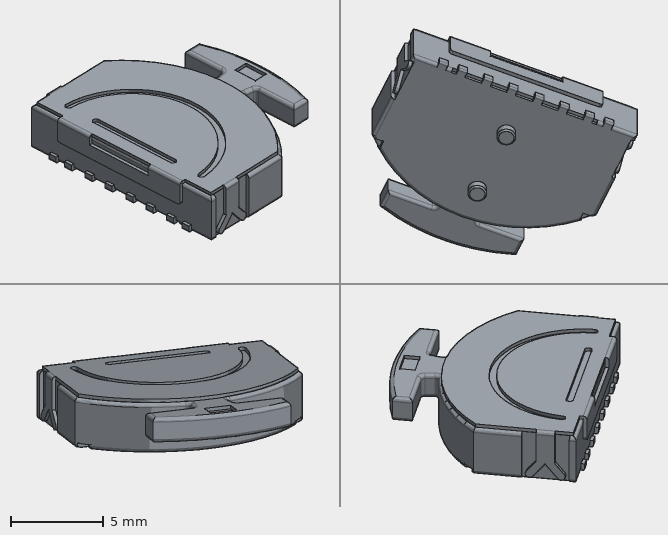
import cadquery as cq
import math

width = 13.2
half_width = width / 2
side_length = 5.64
arch_top = 8.62
sheet = 0.2
total_height = 3.0
housing_height = total_height - sheet
edge_round = 0.22
lower_round = 0.18

handle_half_width = 4.0
handle_front = 9.46
handle_side_end = 10.57
handle_top = 11.26
handle_bottom = 1.4
neck_half_front = 1.0
neck_half_back = 1.21
neck_start = 8.18
neck_round = 0.21
neck_corner_margin = 0.07
window_width = 1.5
window_length = 0.87
window_center = 10.35
window_depth = 0.2

tab_thickness = 0.21
cover_half_width = half_width - edge_round
cover_front = 0.2
cover_side_end = 5.57
cover_arch_top = 8.47
tab_half_width = 4.49
tab_bottom = 1.5
tab_corner = 0.17
tab_notch_half_width = 2.14
tab_notch_bottom = 2.36

arc_groove_radius = 4.88
arc_groove_width = 0.41
arc_groove_center = 0.82
arc_groove_end = 1.11
bar_groove_length = 6.02
bar_groove_width = 0.4
bar_groove_y = 1.04

recess_front = 0.38
recess_back = 3.01
recess_depth = 0.21
strap_y = 1.7
strap_half_width = 0.51
fork_spread = 0.87
fork_end_z = 0.33
fork_half_width = 0.231
fork_angle = 50.0
strap_bottom = 1.12

pin_width = 0.51
pin_height = 0.41
pin_reach = 0.2
pin_round = 0.1
pin_offsets = (0.77, 2.25, 3.74, 4.87)

front_relief_half_width = 4.26
back_relief_start = 5.74
back_relief_end = 6.26
back_relief_height = 0.26
back_relief_x = 5.87

peg_diameter = 1.02
peg_length = 0.5
peg_chamfer = 0.09
peg_positions = (2.6, 6.57)


def block(x0, x1, y0, y1, z0, z1):
    """Box between two opposite corners."""
    return cq.Workplane("XY").box(x1 - x0, y1 - y0, z1 - z0, centered=False).translate((x0, y0, z0))


def arched_outline(z, half, front, side_end, top):
    """Outline with straight front and sides and an arched back."""
    return (
        cq.Workplane("XY", origin=(0, 0, z))
        .moveTo(-half, front)
        .lineTo(half, front)
        .lineTo(half, side_end)
        .threePointArc((0, top), (-half, side_end))
        .close()
    )


def both_sides(shape):
    """The shape together with its mirror image across the YZ plane."""
    return shape.union(shape.mirror("YZ"))


def make_handle():
    """T-shaped handle whose neck reaches into the housing."""
    handle_height = housing_height - handle_bottom
    grip = arched_outline(
        handle_bottom, handle_half_width, handle_front, handle_side_end, handle_top
    ).extrude(handle_height)
    neck_end = handle_front + neck_round
    neck = (
        cq.Workplane("XY", origin=(0, 0, handle_bottom))
        .polyline([
            (-neck_half_front, neck_start),
            (neck_half_front, neck_start),
            (neck_half_back, handle_front),
            (neck_half_back, neck_end),
            (-neck_half_back, neck_end),
            (-neck_half_back, handle_front),
        ])
        .close()
        .extrude(handle_height)
    )
    corners = cq.selectors.BoxSelector(
        (-neck_half_back - neck_corner_margin, handle_front - neck_corner_margin, 0),
        (neck_half_back + neck_corner_margin, handle_front + neck_corner_margin, total_height),
    )
    return grip.union(neck).edges("|Z").edges(corners).fillet(neck_round)


def make_body():
    """Housing and handle with rounded upper and lower edges."""
    housing = arched_outline(0, half_width, 0, side_length, arch_top).extrude(housing_height)
    housing = housing.faces("<Z").edges().fillet(lower_round)
    handle = make_handle().faces("<Z").edges("not(<Y)").fillet(lower_round)
    body = housing.union(handle)
    junction = cq.selectors.BoxSelector(
        (-neck_half_back, neck_start, handle_bottom + lower_round),
        (neck_half_back, arch_top, total_height),
    )
    body = body.edges("|Z").edges(junction).fillet(neck_round)
    body = body.faces(">Z").edges().fillet(edge_round)
    window = cq.Workplane("XY", origin=(0, window_center, housing_height)).rect(window_width, window_length)
    return body.cut(window.extrude(-window_depth))


def make_reliefs():
    """Notches in the lower edges: one wide at the front, one on each side of the arch."""
    front = block(-front_relief_half_width, front_relief_half_width, 0, lower_round, 0, lower_round)
    back = block(-half_width, -back_relief_x, back_relief_start, back_relief_end, 0, back_relief_height)
    return front.union(both_sides(back))


def make_side_recess():
    """Full-height recess in the -X side."""
    return block(-half_width, -half_width + recess_depth, recess_front, recess_back, 0, housing_height)


def make_strap():
    """Strap bent down from the cover into the -X recess, forked into two round-ended prongs."""
    side = cq.Workplane("YZ", origin=(-half_width, 0, 0))
    strap = block(
        -half_width, -cover_half_width, strap_y - strap_half_width, strap_y + strap_half_width,
        strap_bottom, total_height,
    )
    strap = strap.edges("<X and >Z").fillet(tab_thickness)
    angle = math.radians(fork_angle)
    prong_length = fork_spread / math.cos(angle)
    for direction in (-1, 1):
        prong = (
            side.center(strap_y + direction * fork_spread / 2, fork_end_z + fork_spread * math.tan(angle) / 2)
            .transformed(rotate=(0, 0, -direction * fork_angle))
            .slot2D(prong_length + 2 * fork_half_width, 2 * fork_half_width)
            .extrude(edge_round)
        )
        strap = strap.union(prong)
    return strap


def make_cover():
    """Cover plate with its front tab and the grooves."""
    plate = arched_outline(
        housing_height, cover_half_width, cover_front, cover_side_end, cover_arch_top
    ).extrude(sheet)
    fold = block(-tab_half_width, tab_half_width, -tab_thickness, cover_front, housing_height, total_height)
    tab = block(-tab_half_width, tab_half_width, -tab_thickness, 0, tab_bottom, total_height)
    tab = tab.edges("|Y and <Z").fillet(tab_corner)
    tab = tab.union(fold).edges("<Y and >Z").fillet(tab_thickness)
    tab = tab.cut(
        block(-tab_notch_half_width, tab_notch_half_width, -tab_thickness, 0, tab_notch_bottom, total_height)
    )
    return plate.union(tab).cut(make_grooves())


def make_grooves():
    """Arc groove and straight groove with round ends."""
    base = cq.Workplane("XY", origin=(0, 0, housing_height))
    bar = base.center(0, bar_groove_y).slot2D(bar_groove_length, bar_groove_width).extrude(sheet)
    rise = arc_groove_end - arc_groove_center
    end_x = math.sqrt(arc_groove_radius**2 - rise**2)
    outer = arc_groove_radius + arc_groove_width / 2
    inner = arc_groove_radius - arc_groove_width / 2
    cos_end = end_x / arc_groove_radius
    sin_end = rise / arc_groove_radius
    arc = (
        base.center(0, arc_groove_center)
        .moveTo(-outer * cos_end, outer * sin_end)
        .threePointArc((0, outer), (outer * cos_end, outer * sin_end))
        .lineTo(inner * cos_end, inner * sin_end)
        .threePointArc((0, inner), (-inner * cos_end, inner * sin_end))
        .close()
        .extrude(sheet)
    )
    ends = (
        base.pushPoints([(-end_x, arc_groove_end), (end_x, arc_groove_end)])
        .circle(arc_groove_width / 2)
        .extrude(sheet)
    )
    return bar.union(arc).union(ends)


def make_pin(x):
    """Terminal centered on x, rounded along its lower front edge."""
    pin = block(x - pin_width / 2, x + pin_width / 2, -pin_reach, lower_round, 0, pin_height)
    return pin.edges("<Y and <Z").fillet(pin_round)


def make_pegs():
    """Round locating pegs, chamfered at the tip."""
    pegs = (
        cq.Workplane("XY")
        .pushPoints([(0, y) for y in peg_positions])
        .circle(peg_diameter / 2)
        .extrude(-peg_length)
    )
    return pegs.faces("<Z").edges().chamfer(peg_chamfer)


result = make_body().cut(make_reliefs())
result = result.cut(both_sides(make_side_recess()))
result = result.union(make_cover())
result = result.union(both_sides(make_strap()))
for offset in pin_offsets:
    result = result.union(both_sides(make_pin(offset)))
result = result.union(make_pegs())